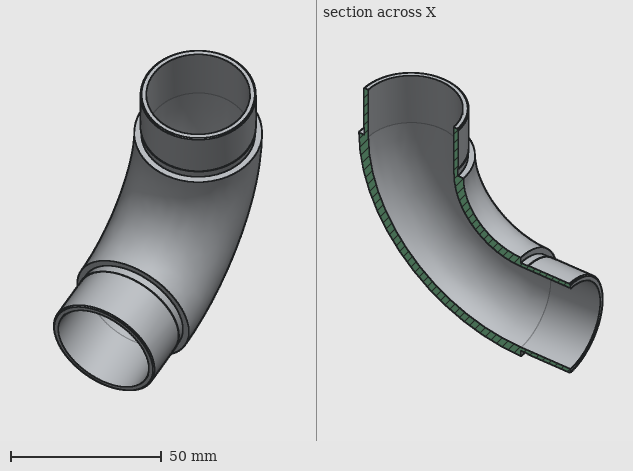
import cadquery as cq

bend_diameter = 42.4
overall_size = 85.5
bend_radius = 44.3
bore_diameter = 34.4
neck_diameter = 37.9
spigot_diameter = 38.3
bend_angle = 90
neck_length = 3.0
tip_chamfer = 0.4

end_length = overall_size - bend_radius - bend_diameter / 2
spigot_length = end_length - neck_length

upper_end = cq.Plane(origin=(0, bend_radius, 0), xDir=(1, 0, 0), normal=(0, 0, 1))
front_end = cq.Plane(origin=(0, 0, -bend_radius), xDir=(1, 0, 0), normal=(0, -1, 0))


def quarter_bend(diameter):
    """Solid quarter torus joining the two end faces."""
    return (
        cq.Workplane(upper_end)
        .circle(diameter / 2)
        .revolve(bend_angle, (0, -bend_radius), (-1, -bend_radius))
    )


def spigot(end_plane):
    """Neck and chamfered spigot standing on one end face of the bend."""
    neck = cq.Workplane(end_plane).circle(neck_diameter / 2).extrude(neck_length)
    sleeve = (
        cq.Workplane(end_plane)
        .workplane(offset=neck_length)
        .circle(spigot_diameter / 2)
        .extrude(spigot_length)
    )
    tip_edge = cq.selectors.DirectionMinMaxSelector(end_plane.zDir, True)
    return neck.union(sleeve.faces(tip_edge).chamfer(tip_chamfer))


def straight_bore(end_plane):
    """Bore through one spigot, down to the end face of the bend."""
    return cq.Workplane(end_plane).circle(bore_diameter / 2).extrude(end_length)


body = quarter_bend(bend_diameter)
bore = quarter_bend(bore_diameter)
for end in (upper_end, front_end):
    body = body.union(spigot(end))
    bore = bore.union(straight_bore(end))

result = body.cut(bore)